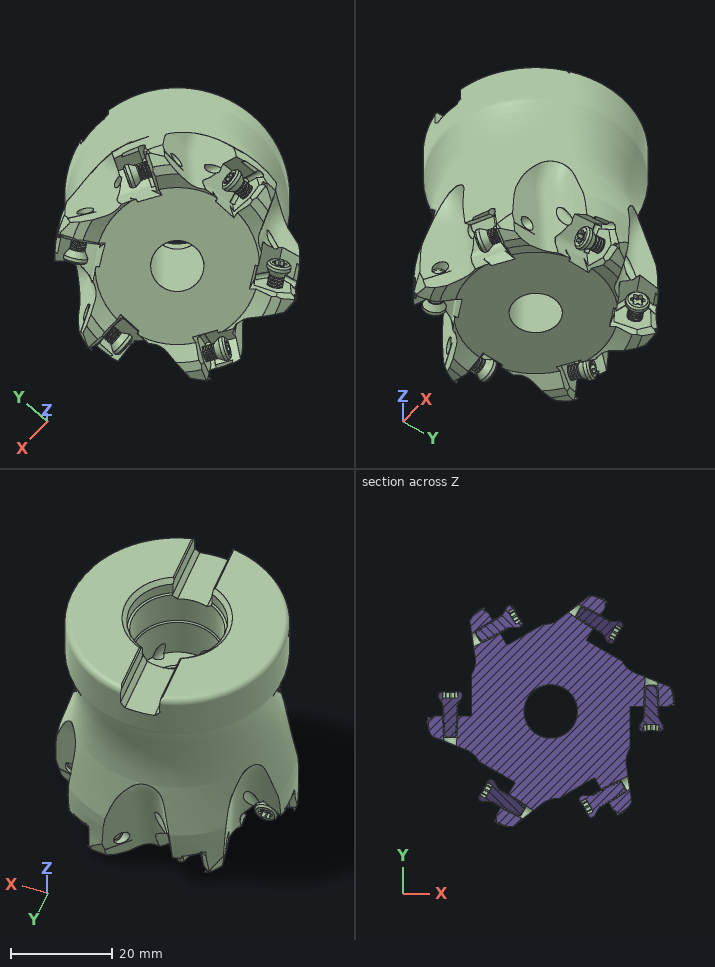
import cadquery as cq
import math

TOOTH_COUNT = 6
TOOTH_PITCH = 360 / TOOTH_COUNT

HEIGHT = 50.0
COLLAR_RADIUS = 22.25
COLLAR_BOTTOM = 40.75
COLLAR_ROUND = 1.5
COLLAR_BLEND_MIDDLE = (22.15, 39.95)
COLLAR_BLEND_END = (21.9, 39.25)
WAIST_TOP = (21.35, 37.4)
WAIST_RADIUS = 20.25
WAIST_Z = 29.25
SKIRT_TOP_RADIUS = 21.05
SKIRT_TOP_Z = 23.25
SKIRT_BOTTOM_RADIUS = 24.0
SKIRT_BOTTOM_Z = 12.35
LAND_RADIUS = 24.2
LAND_TOP_Z = 9.85
LAND_BOTTOM_Z = 5.15
TIP_RADIUS = 24.6
TIP_Z = 2.0
CHIN_RADIUS = 24.1
CHIN_Z = 1.0
FOOT_OUTER_RADIUS = 21.5
FOOT_INNER_RADIUS = 19.5
DISH_RADIUS = 16.25
DISH_DEPTH = 1.5

MOUTH_RADIUS = 10.9
RELIEF_RADIUS = 9.95
RELIEF_DEPTH = 3.5
BORE_RADIUS = 9.4
BORE_DEPTH = 11.0
LOWER_BORE_RADIUS = 9.1
LEDGE_Z = 30.0
THROUGH_RADIUS = 5.25
THROUGH_CHAMFER = 0.35

SLOT_WIDTH = 8.2
SLOT_DEPTH = 4.7
SLOT_FLOOR_CHAMFER = 1.0
SLOT_EDGE_CHAMFER = 0.3

FLUTE_WALL_Y = -6.25
FLUTE_FLOOR_X = 15.7
FLUTE_RADIUS = 4.9
FLUTE_RUNOUT_Z = 16.0
FLUTE_RUNOUT_RADIUS = 13.0
FLANK_ANGLE = 8.0
FLUTE_LEAN = (0.064, -0.098)
FLUTE_FOOT_LEAN = (0.15, -0.14)
FLUTE_BEND_DEPTH = 13.0
FLUTE_DEPTH = 20.0
FLUTE_WIDTH = 16.0
FLUTE_REACH = 31.0

SEAT_CENTER = (19.85, 0.85, 4.4)
SEAT_TILT = 6.0
SEAT_REACH = 8.0
SEAT_APEX = (0.2, 5.6)
SEAT_INNER_SHOULDER = (-4.15, 1.5)
SEAT_SHOULDER_ROUND = 2.0
SEAT_OUTER_SHOULDER = (4.1, 2.1)
SEAT_INNER_FOOT = (-4.15, -2.1)
SEAT_TOE = (0.5, -3.6)
SEAT_OUTER_FOOT = (3.3, -2.4)
SEAT_OUTER_TOP = (3.1, 2.1)
SEAT_OPEN = 7.0
RELIEF_GROOVE_END = (7.0, -0.4)
RELIEF_GROOVE_RADIUS = 0.75
CLEARANCE_ANGLE = 60.0
CLEARANCE_SIZE = 4.0
CLEARANCE_OVERRUN = 0.5

SCREW_RADIUS = 1.55
SCREW_ROOT_RADIUS = 1.3
THREAD_PITCH = 0.65
THREAD_COUNT = 10
THREAD_CREST_WIDTH = 0.26
SCREW_HEAD_RADIUS = 2.4
SCREW_HEAD_TOP = 4.8
SCREW_HEAD_HEIGHT = 1.1
SCREW_NECK_TOP = 2.3
SCREW_HEAD_CHAMFER = 0.4
SCREW_HOLE_DEPTH = 9.0
STAR_LOBE_COUNT = 6
STAR_RADIUS = 1.05
STAR_LOBE_RADIUS = 0.4
STAR_DEPTH = 1.25

HEEL_TOP = (23.75, 4.65, 4.25)
HEEL_FRONT = (24.0, 2.3, 0.75)
HEEL_BACK = (22.7, 4.85, 1.0)
HEEL_SIZE = 8.0

COOLANT_RISE = 3.0
COOLANT_START = (4.65, -6.4, LEDGE_Z + COOLANT_RISE)
COOLANT_END = (20.0, -6.45, 6.0)
COOLANT_RADIUS = 1.1


def around_axis(shape, index):
    """Copy a shape made for the +X tooth to the tooth with this index."""
    return shape.rotate((0, 0, 0), (0, 0, 1), index * TOOTH_PITCH)


def seat_plane():
    """Plane of the seat: x outward, y up along the seat, z out of the seat along the screw."""
    tilt = math.radians(SEAT_TILT)
    normal = (0, -math.cos(tilt), -math.sin(tilt))
    return cq.Plane(origin=SEAT_CENTER, xDir=(1, 0, 0), normal=normal)


def rod(start, end, radius):
    """Round rod between two points."""
    begin = cq.Vector(*start)
    along = cq.Vector(*end) - begin
    return cq.Workplane(cq.Solid.makeCylinder(radius, along.Length, begin, along))


def blank():
    """Turned outside shape."""
    turned = (
        cq.Workplane("XZ")
        .moveTo(0, DISH_DEPTH)
        .lineTo(DISH_RADIUS, DISH_DEPTH)
        .lineTo(FOOT_INNER_RADIUS, 0)
        .lineTo(FOOT_OUTER_RADIUS, 0)
        .lineTo(CHIN_RADIUS, CHIN_Z)
        .lineTo(TIP_RADIUS, TIP_Z)
        .lineTo(LAND_RADIUS, LAND_BOTTOM_Z)
        .lineTo(LAND_RADIUS, LAND_TOP_Z)
        .lineTo(SKIRT_BOTTOM_RADIUS, SKIRT_BOTTOM_Z)
        .lineTo(SKIRT_TOP_RADIUS, SKIRT_TOP_Z)
        .threePointArc((WAIST_RADIUS, WAIST_Z), WAIST_TOP)
        .lineTo(*COLLAR_BLEND_END)
        .threePointArc(COLLAR_BLEND_MIDDLE, (COLLAR_RADIUS, COLLAR_BOTTOM))
        .lineTo(COLLAR_RADIUS, HEIGHT)
        .lineTo(0, HEIGHT)
        .close()
        .revolve(360, (0, 0, 0), (0, 1, 0))
    )
    return turned.faces(">Z").edges().fillet(COLLAR_ROUND)


def bore():
    """Stepped bore with a ledge for the clamping screw and a narrower hole below it."""
    mouth_chamfer = MOUTH_RADIUS - RELIEF_RADIUS
    lower_step = BORE_RADIUS - LOWER_BORE_RADIUS
    return (
        cq.Workplane("XZ")
        .lineTo(THROUGH_RADIUS, 0)
        .lineTo(THROUGH_RADIUS, LEDGE_Z - THROUGH_CHAMFER)
        .lineTo(THROUGH_RADIUS + THROUGH_CHAMFER, LEDGE_Z)
        .lineTo(LOWER_BORE_RADIUS, LEDGE_Z)
        .lineTo(LOWER_BORE_RADIUS, HEIGHT - BORE_DEPTH - lower_step)
        .lineTo(BORE_RADIUS, HEIGHT - BORE_DEPTH)
        .lineTo(BORE_RADIUS, HEIGHT - RELIEF_DEPTH)
        .lineTo(RELIEF_RADIUS, HEIGHT - RELIEF_DEPTH)
        .lineTo(RELIEF_RADIUS, HEIGHT - mouth_chamfer)
        .lineTo(MOUTH_RADIUS, HEIGHT)
        .lineTo(0, HEIGHT)
        .close()
        .revolve(360, (0, 0, 0), (0, 1, 0))
    )


def drive_slot():
    """Slot outline with beveled floor corners and top edges, run across the whole collar."""
    half = SLOT_WIDTH / 2
    floor = HEIGHT - SLOT_DEPTH
    right_side = [
        (half - SLOT_FLOOR_CHAMFER, floor),
        (half, floor + SLOT_FLOOR_CHAMFER),
        (half, HEIGHT - SLOT_EDGE_CHAMFER),
        (half + SLOT_EDGE_CHAMFER, HEIGHT),
    ]
    left_side = [(-x, z) for x, z in reversed(right_side)]
    return cq.Workplane("XZ").polyline(right_side + left_side).close().extrude(COLLAR_RADIUS, both=True)


def flute_section(plane, reach):
    """Flute outline: a wall, a rounded corner, and a floor that opens toward the flank."""
    slope = math.radians(FLANK_ANGLE)
    wall_angle = math.pi / 2
    flank_angle = math.pi + slope
    mid = (wall_angle + flank_angle) / 2
    far_x = (FLUTE_WIDTH - FLUTE_RADIUS) * math.tan(slope)
    arc_middle = (FLUTE_RADIUS * math.cos(mid), FLUTE_RADIUS * math.sin(mid))
    tangent = (-FLUTE_RADIUS * math.cos(slope), -FLUTE_RADIUS * math.sin(slope))
    return (
        cq.Workplane(plane)
        .moveTo(reach, FLUTE_RADIUS)
        .lineTo(0, FLUTE_RADIUS)
        .threePointArc(arc_middle, tangent)
        .lineTo(tangent[0] + far_x, FLUTE_RADIUS - FLUTE_WIDTH)
        .lineTo(reach, FLUTE_RADIUS - FLUTE_WIDTH)
        .close()
    )


def leaning_plane(origin, lean):
    """Plane whose normal leans from Z by the given X and Y shifts per unit of height."""
    return cq.Plane(origin=origin, xDir=(1, 0, -lean[0]), normal=(lean[0], lean[1], 1))


def flute():
    """Leaning flute: an arc runs out through the skirt at the top, and the foot leans more."""
    reach = FLUTE_REACH - FLUTE_FLOOR_X
    corner = (FLUTE_FLOOR_X + FLUTE_RADIUS, FLUTE_WALL_Y - FLUTE_RADIUS, FLUTE_RUNOUT_Z)
    plane = leaning_plane(corner, FLUTE_LEAN)
    bend = plane.toWorldCoords((0, 0, -FLUTE_BEND_DEPTH)).toTuple()
    axis_x = FLUTE_RUNOUT_RADIUS - FLUTE_RADIUS
    runout = flute_section(plane, axis_x).revolve(90, (axis_x, 0, 0), (axis_x, 1, 0))
    straight = flute_section(plane, reach).extrude(-FLUTE_DEPTH)
    foot = flute_section(leaning_plane(bend, FLUTE_FOOT_LEAN), reach).extrude(FLUTE_BEND_DEPTH - FLUTE_DEPTH)
    return runout.union(straight).union(foot)


def insert_seat():
    """Open pocket for an insert, with a flat seat and two upper walls."""
    outline = [
        SEAT_APEX,
        SEAT_INNER_SHOULDER,
        (SEAT_INNER_FOOT[0], -SEAT_OPEN),
        (SEAT_OPEN, -SEAT_OPEN),
        (SEAT_OPEN, SEAT_OUTER_SHOULDER[1]),
        SEAT_OUTER_SHOULDER,
    ]
    plane = seat_plane()
    pocket = cq.Workplane(plane).polyline(outline).close().extrude(SEAT_REACH)
    shoulder = plane.toWorldCoords((*SEAT_INNER_SHOULDER, SEAT_REACH / 2)).toTuple()
    return pocket.edges(cq.NearestToPointSelector(shoulder)).fillet(SEAT_SHOULDER_ROUND)


def relief_groove(start, end):
    """Round groove where an upper wall of the seat meets the seat."""
    plane = seat_plane()
    return rod(plane.toWorldCoords(start).toTuple(), plane.toWorldCoords(end).toTuple(), RELIEF_GROOVE_RADIUS)


def seat_clearance(start, end):
    """Sloping cut that bevels the tooth back from one of the open edges of the seat."""
    plane = seat_plane()
    first = plane.toWorldCoords(start)
    edge = plane.toWorldCoords(end) - first
    outward = edge.cross(plane.zDir).normalized()
    slope = math.radians(CLEARANCE_ANGLE)
    normal = plane.zDir * math.sin(slope) + outward * math.cos(slope)
    cut_plane = cq.Plane(origin=first.toTuple(), xDir=edge.toTuple(), normal=normal.toTuple())
    return (
        cq.Workplane(cut_plane)
        .center(edge.Length / 2, 0)
        .rect(edge.Length + 2 * CLEARANCE_OVERRUN, 2 * CLEARANCE_SIZE)
        .extrude(CLEARANCE_SIZE)
    )


def heel_chamfer():
    """Flat that trims the trailing lower corner of a tooth."""
    top = cq.Vector(*HEEL_TOP)
    normal = (cq.Vector(*HEEL_FRONT) - top).cross(cq.Vector(*HEEL_BACK) - top)
    plane = cq.Plane(origin=HEEL_TOP, normal=normal.toTuple())
    return cq.Workplane(plane).rect(HEEL_SIZE, HEEL_SIZE).extrude(CLEARANCE_SIZE)


def screw_hole():
    """Hole from the seat out through the back flank of the tooth."""
    return cq.Workplane(seat_plane()).circle(SCREW_RADIUS).extrude(-SCREW_HOLE_DEPTH)


def insert_screw():
    """Clamping screw with a countersunk head, a ringed thread and a six-lobed recess."""
    profile = [
        (0, SCREW_HEAD_TOP),
        (SCREW_HEAD_RADIUS - SCREW_HEAD_CHAMFER, SCREW_HEAD_TOP),
        (SCREW_HEAD_RADIUS, SCREW_HEAD_TOP - SCREW_HEAD_CHAMFER),
        (SCREW_HEAD_RADIUS, SCREW_HEAD_TOP - SCREW_HEAD_HEIGHT),
        (SCREW_RADIUS, SCREW_NECK_TOP),
    ]
    for ring in range(THREAD_COUNT):
        groove_top = SCREW_NECK_TOP - ring * THREAD_PITCH - THREAD_CREST_WIDTH
        groove_width = THREAD_PITCH - THREAD_CREST_WIDTH
        profile += [
            (SCREW_RADIUS, groove_top),
            (SCREW_ROOT_RADIUS, groove_top - groove_width / 2),
            (SCREW_RADIUS, groove_top - groove_width),
        ]
    profile.append((0, profile[-1][1]))
    plane = seat_plane()
    side = cq.Plane(origin=SEAT_CENTER, xDir=plane.xDir.toTuple(), normal=(plane.yDir * -1).toTuple())
    screw = cq.Workplane(side).polyline(profile).close().revolve(360, (0, 0, 0), (0, 1, 0))
    recess = cq.Workplane(plane).workplane(offset=SCREW_HEAD_TOP).circle(STAR_RADIUS).extrude(-STAR_DEPTH)
    lobes = (
        cq.Workplane(plane)
        .workplane(offset=SCREW_HEAD_TOP)
        .polarArray(STAR_RADIUS, 0, 360, STAR_LOBE_COUNT)
        .circle(STAR_LOBE_RADIUS)
        .extrude(-STAR_DEPTH)
    )
    return screw.cut(recess.union(lobes))


def cutter_body():
    """Turned blank with the bore, the drive slot and the same cuts at every tooth."""
    body = blank().cut(bore()).cut(drive_slot())
    tooth_cuts = [
        flute(),
        insert_seat(),
        relief_groove(SEAT_APEX, SEAT_INNER_SHOULDER),
        relief_groove(SEAT_APEX, RELIEF_GROOVE_END),
        seat_clearance(SEAT_INNER_FOOT, SEAT_TOE),
        seat_clearance(SEAT_TOE, SEAT_OUTER_FOOT),
        seat_clearance(SEAT_OUTER_FOOT, SEAT_OUTER_TOP),
        heel_chamfer(),
        screw_hole(),
        rod(COOLANT_START, COOLANT_END, COOLANT_RADIUS),
    ]
    for index in range(TOOTH_COUNT):
        for cut in tooth_cuts:
            body = body.cut(around_axis(cut, index))
    return body


body = cutter_body()
screws = [around_axis(insert_screw(), index) for index in range(TOOTH_COUNT)]

result = cq.Compound.makeCompound([body.val(), *[screw.val() for screw in screws]])